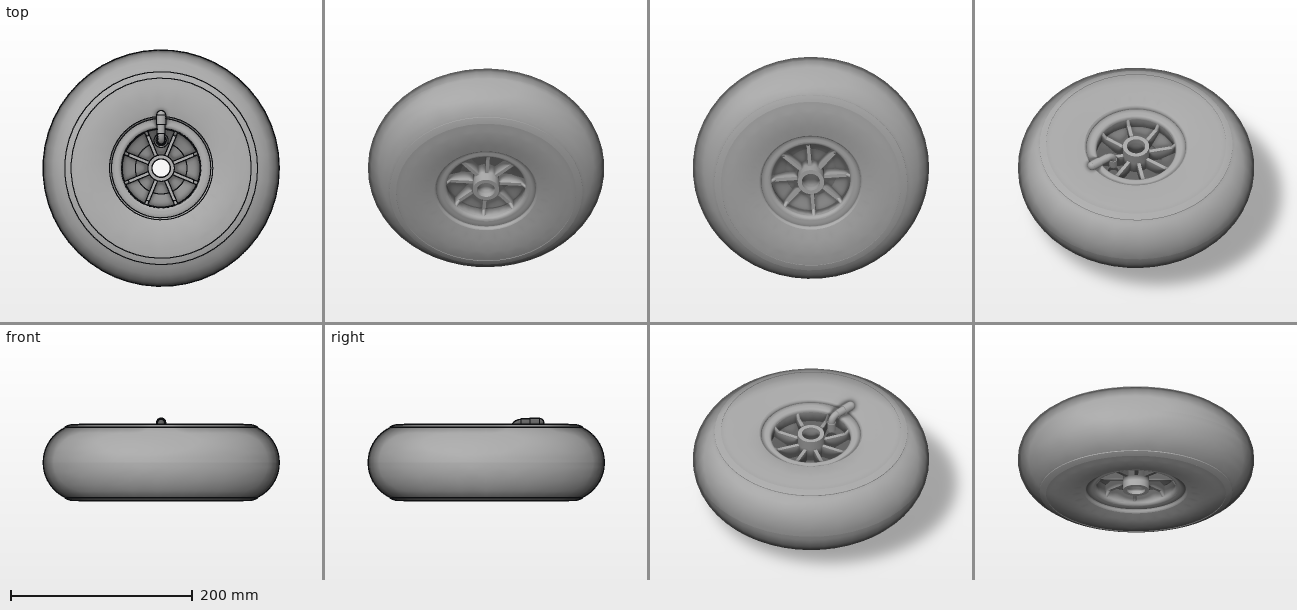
import cadquery as cq
import math


tyre_radius = 130.0
tyre_half_width = 42.5
tread_center_radius = tyre_radius - tyre_half_width
crown_radius = 82.0
sidewall_edge_radius = 56.8
sidewall_edge_height = 38.9

band_inner_radius = 99.0
band_outer_radius = 106.0
band_thickness = 0.8

rim_radius = 54.6
rim_half_width = 35.0
cavity_radius = 43.4
cavity_bottom_radius = 44.2
cavity_fillet = 4.0
cone_outer_radius = 42.8
cone_top_height = 17.5
cone_bottom_height = 11.5
floor_radius = 28.4
floor_height = cone_bottom_height - 1.0
hub_radius = 14.5
hub_half_length = 37.5
bore_radius = 10.0

rib_count = 8
rib_thickness = 3.8
rib_height = 25.5
ridge_start_radius = 38.4
ridge_top = 31.0
ridge_rounding = 0.49 * rib_thickness
rib_overlap = 1.5

valve_offset = 30.4
valve_top = 91.35 - tyre_half_width
boss_radius = 7.7
boss_height = 16.2
boss_bore_radius = 5.7
stem_radius = 4.4
stem_bottom = 25.6
stem_height = 36.0
tube_radius = 3.8
cap_radius = 5.1
cap_dome_radius = 4.9
valve_arm_height = valve_top - cap_radius
bend_radius = valve_arm_height - stem_height
sleeve_length = 10.0
cap_length = 10.3


def circle_height(radial, center_radial, radius):
    """Height above the centre of a circle at the given distance from the wheel axis."""
    return math.sqrt(radius**2 - (radial - center_radial) ** 2)


def both_sides(shape):
    return shape.union(shape.mirror("XY"))


def revolve_about_z(profile):
    return profile.revolve(360, (0, 0, 0), (0, 1, 0))


def make_tyre():
    sidewall_drop = tyre_half_width - sidewall_edge_height
    sidewall_span = crown_radius - sidewall_edge_radius
    sidewall_radius = (sidewall_span**2 + sidewall_drop**2) / (2 * sidewall_drop)
    sidewall_center_height = tyre_half_width - sidewall_radius
    band_arc_radius = tyre_half_width + band_thickness
    band_middle = (band_inner_radius + band_outer_radius) / 2

    lip_run = sidewall_edge_radius - rim_radius
    lip_rise = sidewall_edge_height - rim_half_width
    lip_radius = (lip_run**2 + lip_rise**2) / (2 * lip_run)
    lip_middle_height = rim_half_width + lip_rise / 2
    lip_middle_radius = rim_radius + lip_radius - math.sqrt(lip_radius**2 - (lip_rise / 2) ** 2)

    sidewall_end_height = sidewall_center_height + circle_height(
        band_inner_radius, crown_radius, sidewall_radius
    )

    def band_height(radial):
        return circle_height(radial, tread_center_radius, band_arc_radius)

    tread_edge_height = circle_height(band_outer_radius, tread_center_radius, tyre_half_width)
    tread_middle_height = tread_edge_height / 2
    tread_middle_radius = tread_center_radius + math.sqrt(
        tyre_half_width**2 - tread_middle_height**2
    )

    upper_profile = (
        cq.Workplane("XZ")
        .moveTo(rim_radius, 0)
        .lineTo(rim_radius, rim_half_width)
        .threePointArc(
            (lip_middle_radius, lip_middle_height), (sidewall_edge_radius, sidewall_edge_height)
        )
        .threePointArc((crown_radius, tyre_half_width), (band_inner_radius, sidewall_end_height))
        .lineTo(band_inner_radius, band_height(band_inner_radius))
        .threePointArc(
            (band_middle, band_height(band_middle)),
            (band_outer_radius, band_height(band_outer_radius)),
        )
        .lineTo(band_outer_radius, tread_edge_height)
        .threePointArc((tread_middle_radius, tread_middle_height), (tyre_radius, 0))
    )
    return revolve_about_z(upper_profile.mirrorX())


def make_rim_shell():
    """Upper half of the dished rim: barrel, conical web, flat floor and hub."""
    fillet_offset = cavity_fillet * (1 - math.sqrt(0.5))
    profile = (
        cq.Workplane("XZ")
        .moveTo(bore_radius, 0)
        .lineTo(bore_radius, hub_half_length)
        .lineTo(hub_radius, hub_half_length)
        .lineTo(hub_radius, floor_height)
        .lineTo(floor_radius, floor_height)
        .lineTo(floor_radius, cone_bottom_height)
        .lineTo(cone_outer_radius, cone_top_height)
        .lineTo(cavity_bottom_radius, cone_top_height)
        .lineTo(cavity_radius, rim_half_width - cavity_fillet)
        .threePointArc(
            (cavity_radius + fillet_offset, rim_half_width - fillet_offset),
            (cavity_radius + cavity_fillet, rim_half_width),
        )
        .lineTo(rim_radius, rim_half_width)
        .lineTo(rim_radius, 0)
        .close()
    )
    return revolve_about_z(profile)


def make_rib(angle):
    """Radial rib whose outer end rises to the rim wall as a round-topped ridge."""
    rib_start = hub_radius - rib_overlap
    rib_end = cavity_radius + rib_overlap
    web = (
        cq.Workplane("XZ")
        .moveTo(rib_start, 0)
        .lineTo(rib_start, rib_height)
        .lineTo(rib_end, rib_height)
        .lineTo(rib_end, 0)
        .close()
        .extrude(rib_thickness / 2, both=True)
    )
    ridge_slope = (ridge_top - rib_height) / (cavity_radius - ridge_start_radius)
    ridge_end_height = rib_height + ridge_slope * (rib_end - ridge_start_radius)
    ridge = (
        cq.Workplane("XZ")
        .moveTo(ridge_start_radius, 0)
        .lineTo(ridge_start_radius, rib_height)
        .lineTo(rib_end, ridge_end_height)
        .lineTo(rib_end, 0)
        .close()
        .extrude(rib_thickness / 2, both=True)
    )
    slope_center = ((ridge_start_radius + rib_end) / 2, 0, (rib_height + ridge_end_height) / 2)
    ridge = ridge.faces(cq.NearestToPointSelector(slope_center)).edges("not |Y").fillet(ridge_rounding)
    return web.union(ridge).rotate((0, 0, 0), (0, 0, 1), angle)


def make_rim():
    half = make_rim_shell()
    rib_pitch = 360 / rib_count
    for index in range(rib_count):
        half = half.union(make_rib((index + 0.5) * rib_pitch))
    boss = cq.Workplane("XY").center(0, valve_offset).circle(boss_radius).extrude(boss_height)
    boss_bore = (
        cq.Workplane("XY", origin=(0, valve_offset, floor_height))
        .circle(boss_bore_radius)
        .extrude(boss_height - floor_height)
    )
    return both_sides(half).union(boss).cut(boss_bore)


def make_valve():
    """Bent valve: upright stem, quarter bend, then sleeve and domed cap pointing to +Y."""
    stem = (
        cq.Workplane("XY", origin=(0, valve_offset, stem_bottom))
        .circle(stem_radius)
        .extrude(stem_height - stem_bottom)
    )
    bend = (
        cq.Workplane("XY", origin=(0, valve_offset, stem_height))
        .circle(tube_radius)
        .revolve(90, (1, bend_radius, 0), (-1, bend_radius, 0))
    )
    sleeve_start = valve_offset + bend_radius
    cap_start = sleeve_start + sleeve_length
    cap_end = cap_start + cap_length
    dome_middle = cap_dome_radius * math.sqrt(0.5)
    arm = (
        cq.Workplane("YZ", origin=(0, 0, valve_arm_height))
        .moveTo(sleeve_start, 0)
        .lineTo(sleeve_start, stem_radius)
        .lineTo(cap_start, stem_radius)
        .lineTo(cap_start, cap_radius)
        .lineTo(cap_end, cap_radius)
        .lineTo(cap_end, cap_dome_radius)
        .threePointArc((cap_end + dome_middle, dome_middle), (cap_end + cap_dome_radius, 0))
        .close()
        .revolve(360, (0, 0, 0), (1, 0, 0))
    )
    return stem.union(bend).union(arm)


valve = make_valve()
rim = make_rim()
tyre = make_tyre().cut(valve)

result = cq.Compound.makeCompound([tyre.val(), rim.val(), valve.val()])